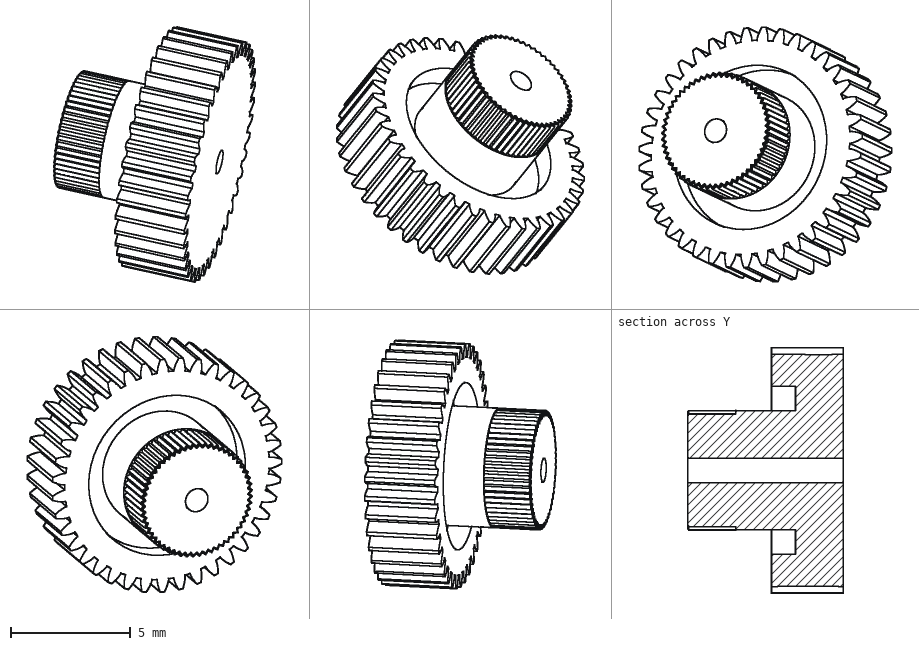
import cadquery as cq
import math

tooth_count = 39
tip_diameter = 10.25
wheel_width = 3.0
pressure_angle = math.radians(20)
dedendum_factor = 1.25
flank_points = 6

total_length = 6.5
hub_diameter = 5.0
knurl_length = 2.0
knurl_count = 56
knurl_chamfer = 0.05

recess_diameter = 7.0
recess_depth = 1.0
bore_diameter = 1.0

module = tip_diameter / (tooth_count + 2)
pitch_radius = module * tooth_count / 2
tip_radius = tip_diameter / 2
root_radius = pitch_radius - dedendum_factor * module
base_radius = pitch_radius * math.cos(pressure_angle)
tooth_pitch = 2 * math.pi / tooth_count

hub_radius = hub_diameter / 2
wheel_front = total_length - wheel_width


def polar(radius, angle):
    return (radius * math.cos(angle), radius * math.sin(angle))


def involute(angle):
    return math.tan(angle) - angle


def half_tooth_angle(radius):
    """Half the angle a tooth spans at a radius on its involute flank."""
    flank_angle = math.acos(min(1.0, base_radius / radius))
    return tooth_pitch / 4 + involute(pressure_angle) - involute(flank_angle)


def toothed_wheel():
    step = (tip_radius - base_radius) / (flank_points - 1)
    flank_radii = [base_radius + i * step for i in range(flank_points)]
    base_half = half_tooth_angle(base_radius)
    tip_half = half_tooth_angle(tip_radius)

    first_center = math.pi
    outline = cq.Workplane("YZ", origin=(wheel_front, 0, 0))
    outline = outline.moveTo(*polar(root_radius, first_center - base_half))
    for i in range(tooth_count):
        center = first_center + i * tooth_pitch
        rising = [polar(r, center - half_tooth_angle(r)) for r in flank_radii]
        falling = [polar(r, center + half_tooth_angle(r)) for r in reversed(flank_radii)]
        next_gap = center + tooth_pitch / 2
        next_tooth = center + tooth_pitch - base_half
        outline = (
            outline.lineTo(*rising[0])
            .spline(rising[1:], includeCurrent=True)
            .threePointArc(polar(tip_radius, center), polar(tip_radius, center + tip_half))
            .spline(falling[1:], includeCurrent=True)
            .lineTo(*polar(root_radius, center + base_half))
            .threePointArc(polar(root_radius, next_gap), polar(root_radius, next_tooth))
        )
    return outline.close().extrude(wheel_width)


def knurled_end():
    """Sharp ridges separated by right-angled grooves, chamfered at the free end."""
    half_pitch = math.pi / knurl_count
    groove_radius = hub_radius * (math.cos(half_pitch) - math.sin(half_pitch))
    points = []
    for i in range(knurl_count):
        groove_angle = 2 * i * half_pitch
        points.append(polar(groove_radius, groove_angle))
        points.append(polar(hub_radius, groove_angle + half_pitch))
    knurl = cq.Workplane("YZ").polyline(points).close().extrude(knurl_length)
    return knurl.faces("<X").edges().chamfer(knurl_chamfer)


def cylinder(diameter, start, end):
    plane = cq.Workplane("YZ", origin=(start, 0, 0))
    return plane.circle(diameter / 2).extrude(end - start)


recess = cylinder(recess_diameter, wheel_front, wheel_front + recess_depth)
plain_hub = cylinder(hub_diameter, knurl_length, wheel_front + recess_depth)
bore = cylinder(bore_diameter, 0, total_length)

result = toothed_wheel().cut(recess).union(plain_hub).union(knurled_end()).cut(bore)